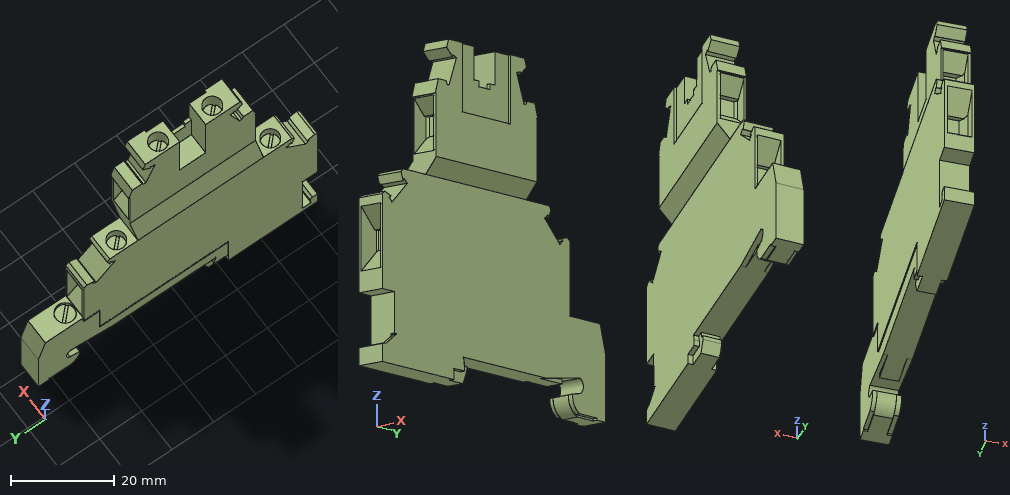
import cadquery as cq


body_thick = 6.05
tier_shift = 2.7
upper_right = tier_shift + body_thick
body_half = 27.9
mid_y = body_half
total_length = 66.5
total_height = 67.25
cover_thick = 1.1

body_bottom = 0.9
body_top = 40.15
neck_top = 43.3
neck_half = 15.0

foot_inset = 0.2
foot_top = 19.3
foot_wall_y = 63.9
foot_plate_top = 11.8
foot_plate_bottom = 0.4
tail_y = 48.35
clip_top = 5.8

screw_radius = 2.0
screw_x = 2.5
upper_screw_offset = 6.45
upper_screw_depth = 4.05
lower_screw_offset = 18.35
lower_screw_depth = 2.4
foot_screw_radius = 2.15
foot_screw_x = 3.1
foot_screw_offset = 30.1
foot_screw_depth = 0.8
slot_width = 0.6
slot_depth = 0.55

bridge_half = 3.1
bridge_floor = 53.45
bridge_wall_x = 7.4
bridge_wall_top = 60.6
bridge_notch_half = 1.6
bridge_notch_floor = 59.45
side_recess_x = 8.2
side_recess_half = 7.1


def plate(points, x_start, x_end):
    """Extrude a (y, z) outline from x_start to x_end."""
    return cq.Workplane("YZ", origin=(x_start, 0, 0)).polyline(points).close().extrude(x_end - x_start)


def block(x_range, y_range, z_range):
    """Box spanning the given (low, high) ranges."""
    size = [high - low for low, high in (x_range, y_range, z_range)]
    return cq.Workplane("XY", origin=(x_range[0], y_range[0], z_range[0])).box(*size, centered=False)


def on_right(half_outline):
    """Place (distance from the centre plane, z) points on the -Y side."""
    return [(mid_y - distance, z) for distance, z in half_outline]


def on_left(half_outline):
    """Place (distance from the centre plane, z) points on the +Y side, in reverse order."""
    return [(mid_y + distance, z) for distance, z in reversed(half_outline)]


def mirrored(shape):
    """Copy of a shape reflected to the other end of the block."""
    return shape.mirror("XZ", (0, mid_y, 0))


shoulder = [
    (21.7, body_top), (22.3, 39.5), (21.7, 37.8), (21.4, 38.2), (20.45, 37.45),
    (24.95, 33.0), (25.75, 33.75), (25.35, 34.15), (27.2, 34.8), (body_half, 34.15),
]
end_step_z = 15.3
end_step_y = 3.6
latch_floor = 2.5
latch_front_y = 1.6
latch_end = [
    (0, end_step_z), (end_step_y, end_step_z), (end_step_y, latch_floor), (latch_front_y, latch_floor),
    (1.9, 4.25), (1.3, 4.8), (0, 4.5), (0, body_bottom),
]
cover_y = 21.3
cover_z = 10.0
foot_joint_y = 52.0
foot_joint_z = 17.95
body_end_y = 2 * body_half

lower_outline = on_right(shoulder) + latch_end + [
    (cover_y, body_bottom), (cover_y, cover_z), (foot_joint_y, cover_z),
    (foot_joint_y, foot_joint_z), (body_end_y, foot_joint_z),
] + on_left(shoulder)
lower_tier = plate(lower_outline, 0, body_thick)

hook_y = 25.55
core_end_y = 54.75
rail_hook = [
    (cover_y, body_bottom), (25.35, body_bottom), (26.4, 3.5), (26.5, 4.3), (hook_y, 4.7),
    (hook_y, clip_top), (core_end_y, clip_top), (core_end_y, cover_z), (cover_y, cover_z),
]
core = plate(rail_hook, cover_thick, body_thick - cover_thick)

gusset_thick = 0.95
gusset_top = 6.6
gusset_outline = [
    (end_step_y, latch_floor), (end_step_y, gusset_top), (1.3, 4.8), (latch_front_y, latch_floor),
]
gusset = plate(gusset_outline, body_thick - gusset_thick, body_thick)
relief_outline = [(end_step_y, gusset_top), (4.3, 7.05), (end_step_y, 7.1)]
gusset_relief = plate(relief_outline, body_thick - gusset_thick, body_thick)
lower_tier = lower_tier.union(core).union(gusset).cut(gusset_relief)

foot_head_outline = [
    (foot_joint_y, foot_plate_top), (foot_joint_y, foot_top), (64.8, foot_top),
    (total_length, 13.3), (total_length, 0), (foot_wall_y, 0), (foot_wall_y, foot_plate_top),
]
foot_head = plate(foot_head_outline, foot_inset, body_thick)


def jaw(x_start, x_end, bottom, bottom_end_y):
    """Jaw of the foot: lower lip, rail throat and the sloping underside."""
    return (
        cq.Workplane("YZ", origin=(x_start, 0, 0))
        .moveTo(foot_wall_y, bottom).lineTo(bottom_end_y, bottom)
        .threePointArc((57.5, 1.3), (56.6, 4.0)).lineTo(59.0, 4.5)
        .threePointArc((59.8, 5.9), (58.8, 7.45)).lineTo(tail_y, clip_top)
        .lineTo(tail_y, foot_plate_top).lineTo(foot_wall_y, foot_plate_top).close()
        .extrude(x_end - x_start)
    )


tail_bottom = 3.1
tail_end_y = 24.5
plate_tail = [
    (tail_y, clip_top), (24.15, clip_top), (tail_end_y, 4.4), (tail_end_y, tail_bottom),
    (cover_y, tail_bottom), (cover_y, foot_plate_top), (tail_y, foot_plate_top),
]
foot = foot_head.union(jaw(cover_thick, body_thick - cover_thick, 0, 59.3))
for x_start, x_end in ((foot_inset, cover_thick), (body_thick - cover_thick, body_thick)):
    foot = foot.union(jaw(x_start, x_end, foot_plate_bottom, 58.8))
    foot = foot.union(plate(plate_tail, x_start, x_end))

neck = (
    cq.Workplane("XZ", origin=(0, mid_y + neck_half, 0))
    .polyline([(0, body_top), (tier_shift, neck_top), (upper_right, neck_top), (body_thick, body_top)])
    .close().extrude(2 * neck_half)
)

upper_shoulder = [
    (11.3, total_height), (11.9, 65.5), (10.15, 63.9), (9.95, 64.3), (9.0, 63.9),
    (11.15, 58.2), (11.7, 58.2), (12.1, 58.85), (14.4, 58.85), (15.25, 55.9), (neck_half, 55.9),
    (neck_half, neck_top),
]
upper_tier = plate(on_right(upper_shoulder) + on_left(upper_shoulder), tier_shift, upper_right)


def cut_bridge_slot(tier):
    """Slot between the upper screws, with a notched back wall and a shallow +X recess."""
    slot_y = (mid_y - bridge_half, mid_y + bridge_half)
    notch_y = (mid_y - bridge_notch_half, mid_y + bridge_notch_half)
    recess_y = (mid_y - side_recess_half, mid_y + side_recess_half)
    tier = tier.cut(block((tier_shift, bridge_wall_x), slot_y, (bridge_floor, total_height)))
    tier = tier.cut(block((bridge_wall_x, upper_right), slot_y, (bridge_wall_top, total_height)))
    tier = tier.cut(block((bridge_wall_x, upper_right), notch_y, (bridge_notch_floor, total_height)))
    return tier.cut(block((side_recess_x, upper_right), recess_y, (bridge_floor, total_height)))


def wire_funnel(face_y, x_open, x_back, z_open, z_back):
    """Wire entry whose roof, floor and sides slope inwards at 45 degrees."""
    depth = z_back[0] - z_open[0]
    roof_depth = z_open[1] - z_back[1]
    side_start = depth - (x_open[1] - x_back[1])
    left_start = depth - (x_back[0] - x_open[0])
    back_y = face_y + depth
    side = plate(
        [(face_y, z_open[0]), (back_y, z_back[0]), (back_y, z_back[1]),
         (face_y + roof_depth, z_back[1]), (face_y, z_open[1])],
        x_open[0], x_open[1],
    )
    plan = (
        cq.Workplane("XY", origin=(0, 0, z_open[0]))
        .polyline([(x_open[0], face_y), (x_open[0], face_y + left_start), (x_back[0], back_y),
                   (x_back[1], back_y), (x_open[1], face_y + side_start), (x_open[1], face_y)])
        .close().extrude(z_open[1] - z_open[0])
    )
    return side.intersect(plan)


def screw_hole(x, y, top, radius, depth):
    """Blind screw hole with a diagonal driver slot in its floor."""
    hole = cq.Workplane("XY", origin=(x, y, top)).circle(radius).extrude(-depth)
    slot = (
        cq.Workplane("XY", origin=(x, y, top - depth)).transformed(rotate=(0, 0, -45))
        .rect(2 * radius, slot_width).extrude(-slot_depth)
    )
    rim = cq.Workplane("XY", origin=(x, y, top)).circle(radius).extrude(-depth - slot_depth)
    return hole.union(slot.intersect(rim))


upper_tier = cut_bridge_slot(upper_tier)
result = lower_tier.union(foot).union(neck).union(upper_tier)

upper_funnel = wire_funnel(
    mid_y - neck_half, x_open=(3.1, 8.1), x_back=(3.55, 6.65), z_open=(44.6, 55.6), z_back=(48.6, 52.6)
)
lower_funnel = wire_funnel(
    0, x_open=(0.7, 5.6), x_back=(0.95, 4.2), z_open=(19.6, 32.4), z_back=(24.4, 28.4)
)
for funnel in (upper_funnel, lower_funnel):
    result = result.cut(funnel).cut(mirrored(funnel))

upper_screw = screw_hole(
    tier_shift + screw_x, mid_y, total_height, screw_radius, upper_screw_depth
)
lower_screw = screw_hole(screw_x, mid_y, body_top, screw_radius, lower_screw_depth)
for screw, offset in ((upper_screw, upper_screw_offset), (lower_screw, lower_screw_offset)):
    for side in (-1, 1):
        result = result.cut(screw.translate((0, side * offset, 0)))

foot_screw = screw_hole(
    foot_screw_x, mid_y + foot_screw_offset, foot_top, foot_screw_radius, foot_screw_depth
)
result = result.cut(foot_screw)